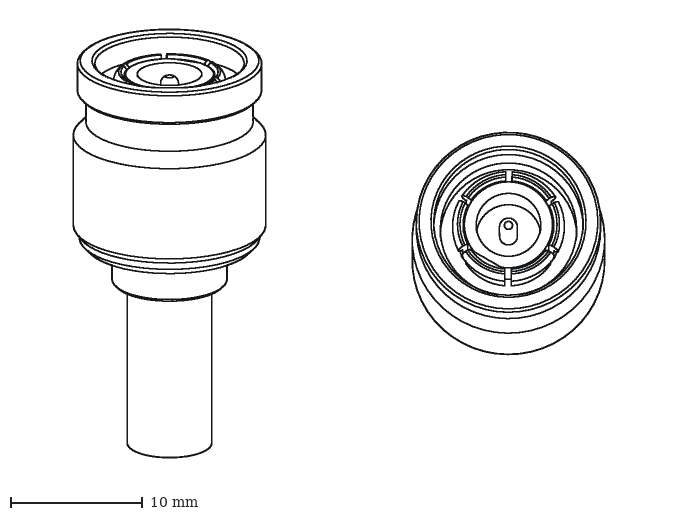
import cadquery as cq

total_height = 30.95

cable_radius = 3.22
collar_radius = 4.35
collar_bottom = 13.03
body_radius = 7.3
body_bottom = 16.1
body_straight_bottom = 17.65
body_straight_top = 24.95
neck_radius = 6.35
neck_bottom = 26.0
rim_radius = 7.0
rim_bottom = 28.35
edge_chamfer = 0.22
rear_step_radius = 6.85
rear_step_bottom = 16.62
rear_step_top_radius = 6.95
rear_step_top = 17.18

mouth_radius = 5.65
mouth_depth = 1.95
socket_radius = 5.17
socket_depth = 4.95
socket_taper_height = 0.7

finger_tip_depth = 0.9
finger_bore_radius = 3.45
finger_tip_inner_radius = 3.68
finger_tip_outer_radius = 3.87
finger_bulge_radius = 4.25
finger_bulge_height = 1.5
finger_chamfer_height = 0.25
slot_width = 0.45
slot_pairs = 3

insulator_depth = 1.08
insulator_radius = 3.35
insulator_bore_radius = 2.45
insulator_flat_offset = 3.13

pin_depth = 1.27
pin_radius = 0.68
pin_tip_radius = 0.3
pin_tip_height = 0.55

socket_floor = total_height - socket_depth
finger_top = total_height - finger_tip_depth


def revolve(profile):
    """Revolve a closed radius-height profile around the Z axis."""
    return profile.close().revolve(360, (0, 0, 0), (0, 1, 0))


def outer_body():
    return revolve(
        cq.Workplane("XZ")
        .moveTo(0, 0)
        .lineTo(cable_radius, 0)
        .lineTo(cable_radius, collar_bottom)
        .lineTo(collar_radius - edge_chamfer, collar_bottom)
        .lineTo(collar_radius, collar_bottom + edge_chamfer)
        .lineTo(collar_radius, body_bottom)
        .lineTo(neck_radius, body_bottom)
        .lineTo(rear_step_radius, rear_step_bottom)
        .lineTo(rear_step_top_radius, rear_step_top)
        .lineTo(body_radius, body_straight_bottom)
        .lineTo(body_radius, body_straight_top)
        .lineTo(neck_radius, neck_bottom)
        .lineTo(neck_radius, rim_bottom)
        .lineTo(rim_radius - edge_chamfer, rim_bottom)
        .lineTo(rim_radius, rim_bottom + edge_chamfer)
        .lineTo(rim_radius, total_height - edge_chamfer)
        .lineTo(rim_radius - edge_chamfer, total_height)
        .lineTo(0, total_height)
    )


def socket():
    """Chamfered mouth that tapers into a narrower blind bore."""
    mouth_bottom = total_height - mouth_depth
    return revolve(
        cq.Workplane("XZ")
        .moveTo(0, socket_floor)
        .lineTo(socket_radius, socket_floor)
        .lineTo(socket_radius, mouth_bottom - socket_taper_height)
        .lineTo(mouth_radius, mouth_bottom)
        .lineTo(mouth_radius, total_height - edge_chamfer)
        .lineTo(mouth_radius + edge_chamfer, total_height)
        .lineTo(0, total_height)
    )


def spring_fingers():
    """Sleeve with a bulged tip, split into fingers by slots across its axis."""
    sleeve = revolve(
        cq.Workplane("XZ")
        .moveTo(finger_bore_radius, socket_floor)
        .lineTo(finger_tip_outer_radius, socket_floor)
        .lineTo(finger_tip_outer_radius, finger_top - finger_bulge_height)
        .threePointArc(
            (finger_bulge_radius, finger_top - finger_bulge_height / 2),
            (finger_tip_outer_radius, finger_top),
        )
        .lineTo(finger_tip_inner_radius, finger_top)
        .lineTo(finger_bore_radius, finger_top - finger_chamfer_height)
    )
    for i in range(slot_pairs):
        slot = (
            cq.Workplane("XY", origin=(0, 0, socket_floor))
            .rect(2 * socket_radius, slot_width)
            .extrude(socket_depth)
            .rotate((0, 0, 0), (0, 0, 1), i * 180 / slot_pairs)
        )
        sleeve = sleeve.cut(slot)
    return sleeve


def insulator():
    """Tube with one flat on its +Y side."""
    height = socket_depth - insulator_depth
    floor = cq.Workplane("XY", origin=(0, 0, socket_floor))
    tube = floor.circle(insulator_radius).circle(insulator_bore_radius).extrude(height)
    beyond_flat = (
        floor.center(0, insulator_flat_offset + insulator_radius / 2)
        .rect(2 * insulator_radius, insulator_radius)
        .extrude(height)
    )
    return tube.cut(beyond_flat)


def centre_pin():
    """Pin with a rounded nose and a small flat at its tip."""
    pin_top = total_height - pin_depth
    nose_width = pin_radius - pin_tip_radius
    nose_bottom = pin_top - pin_tip_height
    return revolve(
        cq.Workplane("XZ")
        .moveTo(0, socket_floor)
        .lineTo(pin_radius, socket_floor)
        .lineTo(pin_radius, nose_bottom)
        .tangentArcPoint((-nose_width, pin_tip_height))
        .lineTo(0, pin_top)
    )


result = outer_body().cut(socket())
for inner_part in (spring_fingers(), insulator(), centre_pin()):
    result = result.union(inner_part)